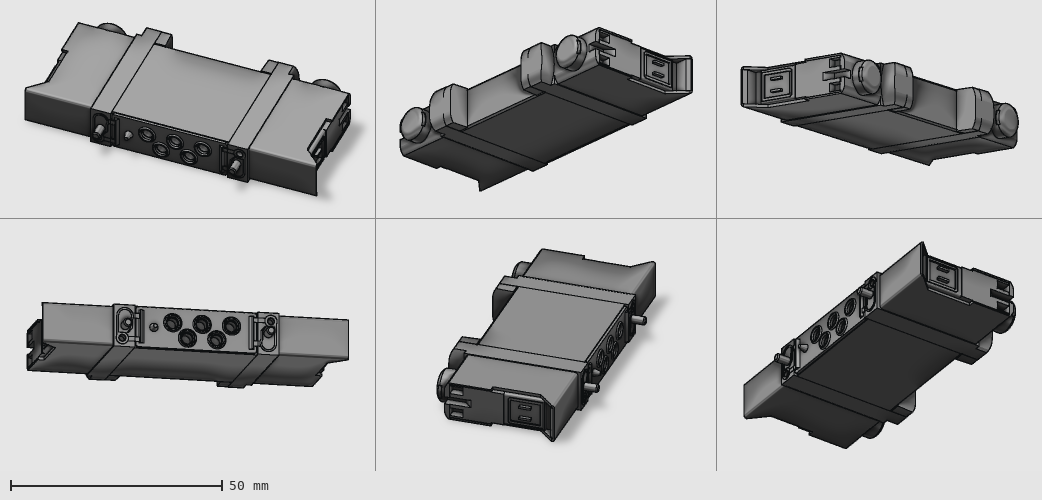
import cadquery as cq


BODY_HALF_LENGTH = 14.9
HALF_HEIGHT = 5.1
BODY_FRONT = 0.9
BODY_BACK = 27.9
BODY_BACK_CHAMFER = 0.45

SEAL_FRONT = 0.2
SEAL_GAP = 0.2
SEAL_CORNER_CHAMFER = 0.45
LIP_HEIGHT = 0.15
SEAL_HALF_LENGTH = BODY_HALF_LENGTH - SEAL_GAP
SEAL_HALF_HEIGHT = HALF_HEIGHT - SEAL_GAP

PORT_PITCH = 7.1
MIDDLE_PORT_X = 1.4
UPPER_PORT_Z = 1.4
LOWER_PORT_Z = -2.15
PORT_CENTRES = [(MIDDLE_PORT_X + n * PORT_PITCH, UPPER_PORT_Z) for n in (-1, 0, 1)]
PORT_CENTRES += [(MIDDLE_PORT_X + n * PORT_PITCH, LOWER_PORT_Z) for n in (-0.5, 0.5)]
PORT_DIAMETER = 2.5
PORT_DEPTH = 2.2
SEAL_OPENING_DIAMETER = 2.8
PORT_LIP_BASE_DIAMETER = 4.45
PORT_LIP_CREST_DIAMETER = 3.9

CONE_X = -10.3
CONE_BASE_DIAMETER = 2.0
CONE_TIP_DIAMETER = 0.9
CONE_TIP_Y = -1.55

BAR_OUTER_X = 13.95
BAR_INNER_X = 12.8
BAR_CREST_OUTER_X = 13.65
BAR_CREST_INNER_X = 13.35
BAR_HALF_HEIGHT = 4.0
BAR_CREST_Y = -0.45

UPPER_BRIDGE = (1.9, 3.2)
LOWER_BRIDGE = (-3.7, -2.6)
BRIDGE_HEIGHT = 0.1

PLATE_OUTER_X = -20.05
PLATE_INNER_X = -BODY_HALF_LENGTH

LUG_BACK = 33.2
LUG_CROWN_HALF_HEIGHT = 2.2
LUG_ARC_MIDDLE = (32.9, 3.9)
LUG_EDGE_Y = 32.3
LUG_INNER_X = -12.5
LUG_ROOT_INNER_X = -12.2
LUG_STEP = 0.1
LUG_OUTER_START_Y = 29.25
LUG_OUTER_X = -19.9
LUG_BULGE_END_X = -19.1
LUG_BULGE_HALF_HEIGHT = 4.45
LUG_TOP_OUTER_X = -18.7

LOOP_X = -17.4
LOOP_Z = 2.4
LOOP_RADIUS = 2.0
LIP_WIDTH = 0.45
LOOP_LEFT_X = LOOP_X - LOOP_RADIUS
LOOP_RIGHT_X = -15.6
LOOP_SHOULDER_Z = -0.5
LOOP_NECK_X = -16.6
LOOP_NECK_Z = -1.7
PILOT_X = -18.0
PILOT_Z = -3.05
PILOT_RING_RADIUS = 1.5
PILOT_RING_OPENING_DIAMETER = 1.7
PILOT_HOLE_DIAMETER = 1.5
PILOT_HOLE_DEPTH = 1.5

SCREW_X = -17.4
SCREW_DIAMETER = 2.0
SCREW_TIP_Y = -3.4
SCREW_CHAMFER = 0.3

COIL_HALF_HEIGHT = 4.9
COIL_FRONT = 0.8
COIL_FRONT_FILLET = 0.8
COIL_BACK = 29.25
COIL_CROWN_HALF_HEIGHT = 3.0
COIL_ARC_MIDDLE = (28.9, 4.1)
COIL_EDGE_Y = 28.2
COIL_END_X = -34.5

CUT_X = -32.95
CUT_BACK = 17.7
FLAP_END_X = -37.1
FLAP_ROOT_Y = 5.7
FLAP_TIP_Y = FLAP_ROOT_Y - (CUT_X - FLAP_END_X)
FLAP_TIP_WALL = 0.45
FLAP_INNER_Y = 2.1
INSERT_HALF_HEIGHT = 4.15

END_FACE_X = -34.3
END_FACE_BACK = 28.0
END_FACE_HALF_HEIGHT = 4.45
WINDOW_FRONT = 24.7
WINDOW_LOW_Z = 1.9
WINDOW_HIGH_Z = 4.0
WINDOW_DEPTH = 2.2
SLOT_HALF_HEIGHT = 1.0
SLOT_FRONT = 22.7
SLOT_FLOOR_FRONT = 24.65
SLOT_FLOOR_X = -32.2

PLUG_FACE_X = -34.1
PLUG_FRONT = 4.4
PLUG_BACK = 14.55
PLUG_FILLET = 0.5
FRAME_FRONT = 4.75
FRAME_BACK = 13.4
FRAME_HALF_HEIGHT = 3.5
FRAME_CORNER_CHAMFER = 0.45
SOCKET_FRONT = 5.4
SOCKET_BACK = 12.9
SOCKET_HALF_HEIGHT = 2.8
SOCKET_DEPTH = 0.45
SOCKET_CORNER_CHAMFER = 0.2
BLADE_FRONT = 7.7
BLADE_BACK = 10.6
BLADE_Z = 1.5
BLADE_THICKNESS = 0.5
BLADE_TIP_X = -34.7

BUTTON_X = -27.4
BUTTON_DIAMETER = 8.1
BUTTON_TOP = 32.65
BUTTON_FLAT_RADIUS = 2.4
BUTTON_SHOULDER = (3.55, 32.2)
BUTTON_EDGE_Y = 31.6
BUTTON_NOTCH_DEPTH = 0.2
BUTTON_NOTCH_HALF_HEIGHT = 1.7
BUTTON_NOTCH_FRONT = 31.1
BUTTON_NOTCH_BACK = 32.2


def block(x_range, y_range, z_range):
    """Box between the two limits given for each axis."""
    limits = [sorted(pair) for pair in (x_range, y_range, z_range)]
    size = [high - low for low, high in limits]
    corner = tuple(low for low, _ in limits)
    return cq.Workplane("XY").box(*size, centered=False).translate(corner)


def y_cylinder(x, z, diameter, y_start, y_end):
    """Cylinder along Y between two Y levels."""
    return cq.Workplane("XZ", origin=(x, y_end, z)).circle(diameter / 2).extrude(y_end - y_start)


def plan_solid(points, half_height):
    """Outline in X and Y, extruded to both sides of the middle plane."""
    return cq.Workplane("XY").polyline(points).close().extrude(half_height, both=True)


def crowned_bar(x_range, front, half_height, back, crown_half_height, arc_middle, edge_y):
    """Bar along X whose back is flat in the middle and curves away to the top and bottom edges."""
    arc_y, arc_z = arc_middle
    return (
        cq.Workplane("YZ", origin=(x_range[0], 0, 0))
        .moveTo(front, -half_height)
        .lineTo(edge_y, -half_height)
        .threePointArc((arc_y, -arc_z), (back, -crown_half_height))
        .lineTo(back, crown_half_height)
        .threePointArc((arc_y, arc_z), (edge_y, half_height))
        .lineTo(front, half_height)
        .close()
        .extrude(x_range[1] - x_range[0])
    )


def turned_about_y(shape):
    """Copy of a shape for the other end of the valve."""
    return shape.rotate((0, 0, 0), (0, 1, 0), 180)


def make_valve_body():
    body = block(
        (-BODY_HALF_LENGTH, BODY_HALF_LENGTH), (BODY_FRONT, BODY_BACK), (-HALF_HEIGHT, HALF_HEIGHT)
    )
    body = body.faces(">Y").edges("|X").chamfer(BODY_BACK_CHAMFER)
    for x, z in PORT_CENTRES:
        body = body.cut(y_cylinder(x, z, PORT_DIAMETER, BODY_FRONT, BODY_FRONT + PORT_DEPTH))
    return body


def make_port_lip(x, z):
    """Lip round a port, flat on the crest and sloping on both sides."""
    base_radius = PORT_LIP_BASE_DIAMETER / 2
    crest_radius = PORT_LIP_CREST_DIAMETER / 2
    opening_radius = SEAL_OPENING_DIAMETER / 2
    profile = [
        (opening_radius, BODY_FRONT),
        (opening_radius, SEAL_FRONT),
        (opening_radius + base_radius - crest_radius, -LIP_HEIGHT),
        (crest_radius, -LIP_HEIGHT),
        (base_radius, SEAL_FRONT),
        (base_radius, BODY_FRONT),
    ]
    lip = cq.Workplane("XY").polyline(profile).close().revolve(360, (0, 0), (0, 1))
    return lip.translate((x, 0, z))


def make_coding_cone():
    profile = [
        (0, BODY_FRONT),
        (CONE_BASE_DIAMETER / 2, BODY_FRONT),
        (CONE_BASE_DIAMETER / 2, SEAL_FRONT),
        (CONE_TIP_DIAMETER / 2, CONE_TIP_Y),
        (0, CONE_TIP_Y),
    ]
    cone = cq.Workplane("XY").polyline(profile).close().revolve(360, (0, 0), (0, 1))
    return cone.translate((CONE_X, 0, 0))


def make_left_seal_bar():
    """Sealing bar and the two bridges that lead from it to the left head."""
    section = [
        (-BAR_OUTER_X, BODY_FRONT),
        (-BAR_OUTER_X, SEAL_FRONT),
        (-BAR_CREST_OUTER_X, BAR_CREST_Y),
        (-BAR_CREST_INNER_X, BAR_CREST_Y),
        (-BAR_INNER_X, SEAL_FRONT),
        (-BAR_INNER_X, BODY_FRONT),
    ]
    bar = plan_solid(section, BAR_HALF_HEIGHT)
    for z_range in (UPPER_BRIDGE, LOWER_BRIDGE):
        bridge = block((-BODY_HALF_LENGTH, -BAR_CREST_OUTER_X), (-BRIDGE_HEIGHT, BODY_FRONT), z_range)
        bar = bar.union(bridge)
    return bar


def make_seal():
    seal = block(
        (-SEAL_HALF_LENGTH, SEAL_HALF_LENGTH),
        (SEAL_FRONT, BODY_FRONT),
        (-SEAL_HALF_HEIGHT, SEAL_HALF_HEIGHT),
    )
    seal = seal.edges("|Y").chamfer(SEAL_CORNER_CHAMFER)
    left_bar = make_left_seal_bar()
    seal = seal.union(left_bar).union(turned_about_y(left_bar)).union(make_coding_cone())
    for x, z in PORT_CENTRES:
        seal = seal.cut(y_cylinder(x, z, SEAL_OPENING_DIAMETER, SEAL_FRONT, BODY_FRONT))
        seal = seal.union(make_port_lip(x, z))
    return seal


def make_lug():
    """Lug at the back of the plate: a bulged outer part and a drafted part behind the valve body."""
    crown = (LUG_BACK, LUG_CROWN_HALF_HEIGHT, LUG_ARC_MIDDLE, LUG_EDGE_Y)
    outer = crowned_bar((PLATE_OUTER_X, PLATE_INNER_X), LUG_OUTER_START_Y, HALF_HEIGHT, *crown)
    bulged = (
        cq.Workplane("XZ", origin=(0, LUG_BACK, 0))
        .moveTo(PLATE_INNER_X, -HALF_HEIGHT)
        .lineTo(LUG_TOP_OUTER_X, -HALF_HEIGHT)
        .lineTo(LUG_BULGE_END_X, -LUG_BULGE_HALF_HEIGHT)
        .threePointArc((LUG_OUTER_X, 0), (LUG_BULGE_END_X, LUG_BULGE_HALF_HEIGHT))
        .lineTo(LUG_TOP_OUTER_X, HALF_HEIGHT)
        .lineTo(PLATE_INNER_X, HALF_HEIGHT)
        .close()
        .extrude(LUG_BACK - LUG_OUTER_START_Y)
    )

    inner_half_height = HALF_HEIGHT - LUG_STEP
    inner = crowned_bar((PLATE_INNER_X, LUG_ROOT_INNER_X), BODY_BACK, inner_half_height, *crown)
    draft_outline = [
        (PLATE_INNER_X, BODY_BACK),
        (LUG_ROOT_INNER_X, BODY_BACK),
        (LUG_INNER_X, LUG_BACK),
        (PLATE_INNER_X, LUG_BACK),
    ]
    inner = inner.intersect(plan_solid(draft_outline, HALF_HEIGHT))
    return outer.intersect(bulged).union(inner)


def loop_area(inset):
    """Filled outline of the large loop, moved inwards by an inset, as high as the lip."""
    outline = [
        (LOOP_LEFT_X + inset, LOOP_Z),
        (LOOP_LEFT_X + inset, LOOP_NECK_Z),
        (LOOP_NECK_X - inset / 2, LOOP_NECK_Z),
        (LOOP_RIGHT_X - inset, LOOP_SHOULDER_Z),
        (LOOP_RIGHT_X - inset, LOOP_Z),
    ]
    area = cq.Workplane("XZ").polyline(outline).close().extrude(LIP_HEIGHT)
    return area.union(y_cylinder(LOOP_X, LOOP_Z, 2 * (LOOP_RADIUS - inset), -LIP_HEIGHT, 0))


def make_lip_loop():
    """Raised lip on the plate with its bridges to the seal."""
    lip = loop_area(0)
    lip = lip.union(y_cylinder(PILOT_X, PILOT_Z, 2 * PILOT_RING_RADIUS, -LIP_HEIGHT, 0))
    neck_side = block((LOOP_LEFT_X, PILOT_X), (-LIP_HEIGHT, 0), (PILOT_Z, LOOP_NECK_Z))
    lip = lip.union(neck_side)
    lip = lip.union(block((LOOP_X, PLATE_INNER_X), (-BRIDGE_HEIGHT, 0), UPPER_BRIDGE))
    lip = lip.union(block((PILOT_X, PLATE_INNER_X), (-BRIDGE_HEIGHT, 0), LOWER_BRIDGE))
    lip = lip.cut(loop_area(LIP_WIDTH))
    return lip.cut(y_cylinder(PILOT_X, PILOT_Z, PILOT_RING_OPENING_DIAMETER, -LIP_HEIGHT, 0))


def make_plate():
    plate = block(
        (PLATE_OUTER_X, PLATE_INNER_X), (0, LUG_OUTER_START_Y), (-HALF_HEIGHT, HALF_HEIGHT)
    )
    plate = plate.union(make_lug()).union(make_lip_loop())
    plate = plate.cut(y_cylinder(PILOT_X, PILOT_Z, PILOT_HOLE_DIAMETER, 0, PILOT_HOLE_DEPTH))
    screw = y_cylinder(SCREW_X, 0, SCREW_DIAMETER, SCREW_TIP_Y, 0)
    return plate.union(screw.faces("<Y").chamfer(SCREW_CHAMFER))


def make_coil_shell():
    """Coil housing with its cut-back end and the hollow flap in front of the plug."""
    shell = crowned_bar(
        (FLAP_END_X, PLATE_OUTER_X), COIL_FRONT, COIL_HALF_HEIGHT,
        COIL_BACK, COIL_CROWN_HALF_HEIGHT, COIL_ARC_MIDDLE, COIL_EDGE_Y,
    )
    shell = shell.faces("<Y").edges("|X").fillet(COIL_FRONT_FILLET)
    outline = [
        (PLATE_OUTER_X, COIL_FRONT),
        (FLAP_END_X, COIL_FRONT),
        (FLAP_END_X, FLAP_TIP_Y),
        (CUT_X, FLAP_ROOT_Y),
        (CUT_X, CUT_BACK),
        (COIL_END_X, CUT_BACK),
        (COIL_END_X, COIL_BACK),
        (PLATE_OUTER_X, COIL_BACK),
    ]
    shell = shell.intersect(plan_solid(outline, COIL_HALF_HEIGHT))
    flap_inner_tip_y = COIL_FRONT + FLAP_TIP_WALL
    flap_hollow = [
        (FLAP_END_X, flap_inner_tip_y),
        (FLAP_END_X + FLAP_INNER_Y - flap_inner_tip_y, FLAP_INNER_Y),
        (CUT_X, FLAP_INNER_Y),
        (CUT_X, FLAP_ROOT_Y),
        (FLAP_END_X, FLAP_ROOT_Y),
    ]
    return shell.cut(plan_solid(flap_hollow, INSERT_HALF_HEIGHT))


def cut_end_face(shell):
    """Sinks the end face and cuts the two windows and the slot that is open to the back."""
    face = block(
        (COIL_END_X, END_FACE_X), (CUT_BACK, END_FACE_BACK), (-END_FACE_HALF_HEIGHT, END_FACE_HALF_HEIGHT)
    )
    shell = shell.cut(face)
    window_x = (COIL_END_X, END_FACE_X + WINDOW_DEPTH)
    for side in (-1, 1):
        window_z = (side * WINDOW_LOW_Z, side * WINDOW_HIGH_Z)
        shell = shell.cut(block(window_x, (WINDOW_FRONT, END_FACE_BACK), window_z))
    slot_outline = [
        (COIL_END_X, COIL_BACK),
        (SLOT_FLOOR_X, COIL_BACK),
        (SLOT_FLOOR_X, SLOT_FLOOR_FRONT),
        (END_FACE_X, SLOT_FRONT),
        (COIL_END_X, SLOT_FRONT),
    ]
    return shell.cut(plan_solid(slot_outline, SLOT_HALF_HEIGHT))


def make_plug():
    """Plug insert with a framed socket and two contact blades."""
    insert_z = (-INSERT_HALF_HEIGHT, INSERT_HALF_HEIGHT)
    plug = block((PLUG_FACE_X, CUT_X), (PLUG_FRONT, PLUG_BACK), insert_z)
    plug = plug.faces("<X").edges("|Y").fillet(PLUG_FILLET)
    plug = plug.union(block((END_FACE_X, CUT_X), (PLUG_BACK, CUT_BACK), insert_z))

    frame = block(
        (END_FACE_X, PLUG_FACE_X), (FRAME_FRONT, FRAME_BACK), (-FRAME_HALF_HEIGHT, FRAME_HALF_HEIGHT)
    )
    plug = plug.union(frame.faces(">Y").edges("|X").chamfer(FRAME_CORNER_CHAMFER))

    socket_floor_x = END_FACE_X + SOCKET_DEPTH
    socket = block(
        (END_FACE_X, socket_floor_x), (SOCKET_FRONT, SOCKET_BACK), (-SOCKET_HALF_HEIGHT, SOCKET_HALF_HEIGHT)
    )
    plug = plug.cut(socket.faces(">Y").edges("|X").chamfer(SOCKET_CORNER_CHAMFER))
    for z in (-BLADE_Z, BLADE_Z):
        blade_z = (z - BLADE_THICKNESS / 2, z + BLADE_THICKNESS / 2)
        plug = plug.union(block((BLADE_TIP_X, socket_floor_x), (BLADE_FRONT, BLADE_BACK), blade_z))
    return plug


def make_button():
    """Round button with a domed edge and a shallow curved notch on both of its X sides."""
    radius = BUTTON_DIAMETER / 2
    button = (
        cq.Workplane("XY")
        .moveTo(0, COIL_EDGE_Y)
        .lineTo(radius, COIL_EDGE_Y)
        .lineTo(radius, BUTTON_EDGE_Y)
        .threePointArc(BUTTON_SHOULDER, (BUTTON_FLAT_RADIUS, BUTTON_TOP))
        .lineTo(0, BUTTON_TOP)
        .close()
        .revolve(360, (0, 0), (0, 1))
        .translate((BUTTON_X, 0, 0))
    )
    notch = block(
        (BUTTON_X - radius, BUTTON_X + radius),
        (BUTTON_NOTCH_FRONT, BUTTON_NOTCH_BACK),
        (-BUTTON_NOTCH_HALF_HEIGHT, BUTTON_NOTCH_HALF_HEIGHT),
    )
    core_diameter = BUTTON_DIAMETER - 2 * BUTTON_NOTCH_DEPTH
    core = y_cylinder(BUTTON_X, 0, core_diameter, BUTTON_NOTCH_FRONT, BUTTON_NOTCH_BACK)
    return button.cut(notch.cut(core))


def make_pilot_head():
    """Left pilot head: plate, coil housing, plug and button as one solid."""
    coil = cut_end_face(make_coil_shell())
    return make_plate().union(coil).union(make_plug()).union(make_button())


valve_body = make_valve_body()
seal = make_seal()
left_head = make_pilot_head()
pilot_heads = [left_head, turned_about_y(left_head)]

result = cq.Compound.makeCompound([valve_body.val(), seal.val(), *[head.val() for head in pilot_heads]])